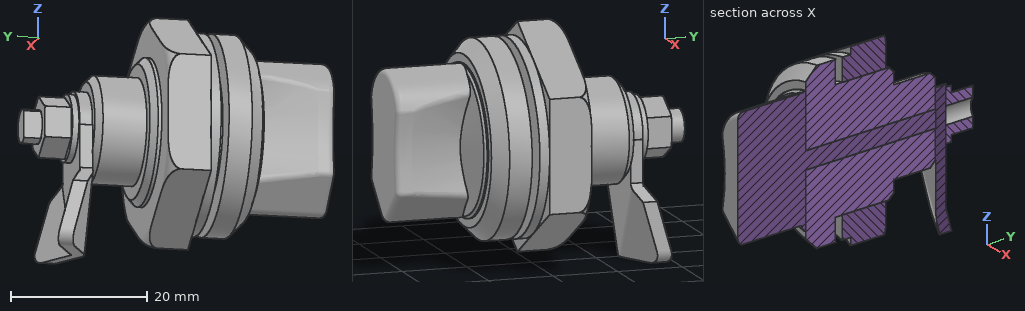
import cadquery as cq
import math


flange_diameter = 30.0
flange_thickness = 5.6
flange_chamfer = 2.1
thread_diameter = 22.0
thread_end = 10.75
neck_diameter = 16.0
neck_end = 18.35
barrel_chamfer = 1.0
shaft_diameter = 5.05
shaft_flat_offset = 1.5

large_nut_start = 1.2
large_nut_collar = 1.5
large_nut_hex = 6.5
large_nut_across_flats = flange_diameter
large_nut_rounding = 2.0

cam_thickness = 1.92
cam_disc_diameter = 11.0
cam_drop = 19.0
flare_start_drop = 7.0
flare_end_drop = 9.5
flare_end_half_width = 7.65
cam_tip_half_width = 8.0
cam_corner_radius = 2.0
wing_bend_angle = 30.0
fold_slant = 26.3

small_nut_collar = 0.95
small_nut_collar_diameter = 10.08
small_nut_hex = 4.0
small_nut_across_flats = 8.0
small_nut_rounding = 0.27

shaft_end = 27.75

knob_reach = 12.45
knob_collar_radius = 11.55
knob_collar_height = 0.25
dome_edge_radius = 11.15
dome_edge_height = 0.6
dome_slope = 10.5
handle_half_height = 11.5
handle_half_width = 6.4
handle_shoulder_height = 6.25
handle_tip_radius = 2.05
handle_tip_slope = 43.0
handle_straight_length = 2.5
waist_depth = 0.65
waist_base = 3.65
waist_base_radius = 19.25
waist_base_shift = 0.2
handle_edge_fillet = 1.0
handle_face_fillet = 0.95

flange_front = -flange_thickness
knob_front = flange_front - knob_reach
cam_start = neck_end
small_nut_start = cam_start + cam_thickness


def plane_at(y):
    """Workplane across the axis: local x is X, local y is Z."""
    return cq.Workplane("XZ", origin=(0, y, 0))


def cylinder(diameter, start, end):
    return plane_at(start).circle(diameter / 2).extrude(start - end)


def turned(half_profile):
    """Solid of revolution about Y from (radius, y) points."""
    return cq.Workplane("XY").polyline(half_profile).close().revolve(360, (0, 0), (0, 1))


def d_prism(start, end):
    """Length of the D-shaped shaft tail, flat on its -X side."""
    radius = shaft_diameter / 2
    flat_half_height = math.sqrt(radius**2 - shaft_flat_offset**2)
    return (
        plane_at(start)
        .moveTo(-shaft_flat_offset, -flat_half_height)
        .threePointArc((radius, 0), (-shaft_flat_offset, flat_half_height))
        .close()
        .extrude(start - end)
    )


def collared_nut(start, collar_diameter, collar_length, across_flats, hex_length, rounding):
    """Hexagon with corners on Z, rounded at the rear, with a round collar in front."""
    across_corners = across_flats / math.cos(math.radians(30))
    hex_start = start + collar_length
    hex_end = hex_start + hex_length
    hexagon = (
        plane_at(hex_start)
        .polygon(6, across_corners)
        .extrude(-hex_length)
        .rotate((0, 0, 0), (0, 1, 0), 30)
    )
    envelope = cylinder(across_corners, hex_start, hex_end).faces(">Y").edges().fillet(rounding)
    return hexagon.intersect(envelope).union(cylinder(collar_diameter, start, hex_start))


def make_housing():
    flange_radius = flange_diameter / 2
    thread_radius = thread_diameter / 2
    neck_radius = neck_diameter / 2
    body = turned([
        (0, flange_front),
        (flange_radius - flange_chamfer, flange_front),
        (flange_radius, flange_front + flange_chamfer),
        (flange_radius, 0),
        (thread_radius, 0),
        (thread_radius, thread_end - barrel_chamfer),
        (thread_radius - barrel_chamfer, thread_end),
        (neck_radius, thread_end),
        (neck_radius, neck_end - barrel_chamfer),
        (neck_radius - barrel_chamfer, neck_end),
        (0, neck_end),
    ])
    return body.cut(cylinder(shaft_diameter, flange_front, neck_end))


def make_large_nut():
    nut = collared_nut(
        large_nut_start,
        flange_diameter,
        large_nut_collar,
        large_nut_across_flats,
        large_nut_hex,
        large_nut_rounding,
    )
    nut_end = large_nut_start + large_nut_collar + large_nut_hex
    return nut.cut(cylinder(thread_diameter, large_nut_start, nut_end))


def make_small_nut():
    nut = collared_nut(
        small_nut_start,
        small_nut_collar_diameter,
        small_nut_collar,
        small_nut_across_flats,
        small_nut_hex,
        small_nut_rounding,
    )
    return nut.cut(cylinder(shaft_diameter, small_nut_start, shaft_end))


def make_cam():
    disc_radius = cam_disc_diameter / 2
    outline_depth = cam_drop / 2
    wing_side = (
        plane_at(cam_start)
        .moveTo(0, 0)
        .lineTo(-disc_radius, 0)
        .lineTo(-disc_radius, -flare_start_drop)
        .lineTo(-flare_end_half_width, -flare_end_drop)
        .lineTo(-cam_tip_half_width, -cam_drop)
        .lineTo(0, -cam_drop)
        .close()
        .extrude(-outline_depth)
        .edges("|Y and <Z and <X")
        .fillet(cam_corner_radius)
    )

    angle = math.radians(wing_bend_angle)
    slant = math.radians(fold_slant)
    reach = cam_drop
    outward = cq.Vector(math.cos(angle), math.sin(angle))
    rear_face_turn = cq.Vector(math.sin(angle), -math.cos(angle)) * cam_thickness
    half_turn = cq.Vector(math.sin(angle / 2), -math.cos(angle / 2)) * cam_thickness
    rear_end = outward * reach
    front_end = rear_end + rear_face_turn
    fold_plane = cq.Plane(
        origin=(0, small_nut_start, -cam_drop),
        xDir=(-math.cos(slant), 0, -math.sin(slant)),
        normal=(math.sin(slant), 0, -math.cos(slant)),
    )
    folded_sheet = (
        cq.Workplane(fold_plane)
        .moveTo(-reach, 0)
        .lineTo(0, 0)
        .lineTo(rear_end.x, rear_end.y)
        .lineTo(front_end.x, front_end.y)
        .lineTo(rear_face_turn.x, rear_face_turn.y)
        .threePointArc((half_turn.x, half_turn.y), (0, -cam_thickness))
        .lineTo(-reach, -cam_thickness)
        .close()
        .extrude(reach, both=True)
    )

    wing = wing_side.intersect(folded_sheet)
    disc = cylinder(cam_disc_diameter, cam_start, small_nut_start)
    return disc.union(wing).union(wing.mirror("YZ")).cut(d_prism(cam_start, small_nut_start))


tip_angle = math.radians(handle_tip_slope)
tip_tangent_x = handle_tip_radius * math.sin(tip_angle)
tip_tangent_z = -handle_half_height + handle_tip_radius * (1 - math.cos(tip_angle))
handle_corner_z = tip_tangent_z + (handle_half_width - tip_tangent_x) * math.tan(tip_angle)
handle_bend = knob_front + handle_straight_length


def waist_outline(y, side, waist, radius, middle):
    """Wire around the space beside one flank: an arc facing the handle, closed off outside it."""
    half_span = handle_half_height
    arc_end = waist + radius - math.sqrt(radius**2 - half_span**2)
    outside = 2 * handle_half_width
    return (
        plane_at(y)
        .moveTo(side * arc_end, middle + half_span)
        .threePointArc((side * waist, middle), (side * arc_end, middle - half_span))
        .lineTo(side * outside, middle - half_span)
        .lineTo(side * outside, middle + half_span)
        .close()
        .val()
    )


def waist_cutter(side):
    """Space beside one concave flank (side -1 or +1), deepening toward the dome."""
    middle = (handle_shoulder_height + handle_corner_z) / 2
    half_chord = (handle_shoulder_height - handle_corner_z) / 2
    waist = handle_half_width - waist_depth
    radius = (half_chord**2 + waist_depth**2) / (2 * waist_depth)
    front = waist_outline(knob_front, side, waist, radius, middle)
    bend = waist_outline(handle_bend, side, waist, radius, middle)
    base = waist_outline(
        flange_front, side, waist_base, waist_base_radius, middle - waist_base_shift
    )
    straight = cq.Solid.makeLoft([front, bend], True)
    deepening = cq.Solid.makeLoft([bend, base], True)
    return cq.Workplane(straight).union(cq.Workplane(deepening))


def flank_edges(height):
    """Selects the edges running along the handle near one height, at either end of the flanks."""
    margin = 2.3
    return cq.selectors.BoxSelector(
        (-handle_half_width - margin, knob_front + handle_edge_fillet, height - margin),
        (handle_half_width + margin, flange_front - handle_edge_fillet, height + margin),
    )


def make_handle():
    handle = (
        plane_at(knob_front)
        .moveTo(-handle_half_width, handle_shoulder_height)
        .threePointArc((0, handle_half_height), (handle_half_width, handle_shoulder_height))
        .lineTo(handle_half_width, handle_corner_z)
        .lineTo(tip_tangent_x, tip_tangent_z)
        .threePointArc((0, -handle_half_height), (-tip_tangent_x, tip_tangent_z))
        .lineTo(-handle_half_width, handle_corner_z)
        .close()
        .extrude(-knob_reach)
    )
    for side in (-1, 1):
        handle = handle.cut(waist_cutter(side))
    long_edges = flank_edges(handle_shoulder_height) + flank_edges(handle_corner_z)
    handle = handle.edges(long_edges).fillet(handle_edge_fillet)
    return handle.faces("<Y").edges().fillet(handle_face_fillet)


def make_knob():
    dome_height = dome_edge_height + dome_edge_radius * math.tan(math.radians(dome_slope))
    dome = turned([
        (0, flange_front),
        (knob_collar_radius, flange_front),
        (knob_collar_radius, flange_front - knob_collar_height),
        (dome_edge_radius, flange_front - dome_edge_height),
        (0, flange_front - dome_height),
    ])
    shaft = cylinder(shaft_diameter, flange_front, neck_end)
    tail = d_prism(neck_end, shaft_end)
    return make_handle().union(dome).union(shaft).union(tail)


housing = make_housing()
large_nut = make_large_nut()
cam = make_cam()
small_nut = make_small_nut()
knob = make_knob()

result = cq.Compound.makeCompound([
    housing.solids().val(),
    large_nut.solids().val(),
    cam.solids().val(),
    small_nut.solids().val(),
    knob.solids().val(),
])